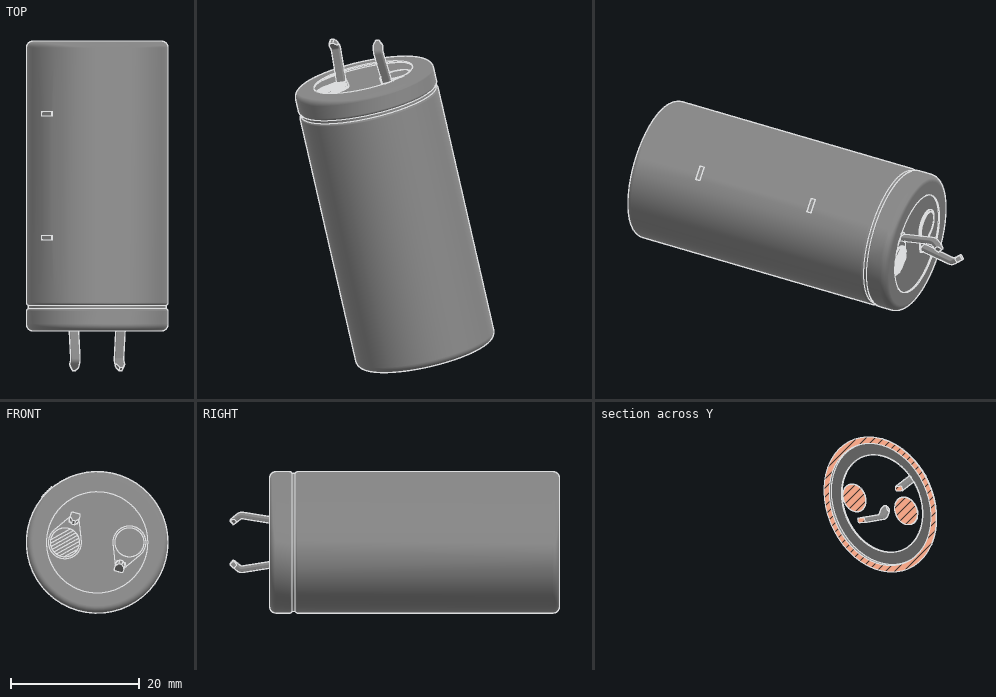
import cadquery as cq
import math

CAN_RADIUS = 11.0
CAN_LENGTH = 45.0
END_FILLET = 1.05

GROOVE_CENTRE = 3.75
GROOVE_ROOT_WIDTH = 0.5
GROOVE_MOUTH_WIDTH = 1.4
GROOVE_DEPTH = 0.27

LIP_RADIUS = 15.71 / 2
LIP_THICKNESS = 0.2
LID_RADIUS = 9.8
LID_Y = 0.93

STRIPE_ANGLE = 135.0
STRIPE_MARK_POSITIONS = (14.5, 33.7)
STRIPE_MARK_LENGTH = 2.2
STRIPE_MARK_WIDTH = 0.7
STRIPE_MARK_HEIGHT = 0.1
STRIPE_MARK_EMBED = 0.5

TERMINAL_PITCH = 10.0
RIVET_RADIUS = 4.5 / 2
RIVET_HEIGHT = 0.3
LUG_RADIUS = 2.55
LUG_THICKNESS = 0.15
LUG_TIP_RADIUS = 0.85

PIN_ROOT = (-3.65, LID_Y, 3.35)
PIN_BEND = (-3.37, -4.5, 4.22)
PIN_TIP = (-3.68, -5.88, 3.08)
PIN_WIDTH = 1.45
PIN_THICKNESS = 0.8
PIN_EDGE_FILLET = 0.22
PIN_BEND_RADIUS = 0.8
PIN_TIP_WIDTH = 0.5
PIN_TAPER_LENGTH = 0.8

PIN_ENVELOPE_REACH = 10.0

HATCH_COUNT = 4
HATCH_PITCH = 0.95
HATCH_WIDTH = HATCH_PITCH / 2
HATCH_SHIFT = -HATCH_WIDTH / 2
HATCH_HEIGHT = 0.1
HATCH_ANGLE = 29.0

RIVET_TOP_Y = LID_Y - RIVET_HEIGHT


def facing_front(y):
    """Workplane at height y along the can whose normal is -Y and whose local axes are X and Z."""
    return cq.Workplane("XZ", origin=(0, y, 0))


def can_body():
    """Can with rounded ends, bead groove and recessed lid, revolved about Y."""
    root_radius = CAN_RADIUS - GROOVE_DEPTH
    root_half = GROOVE_ROOT_WIDTH / 2
    mouth_half = GROOVE_MOUTH_WIDTH / 2
    shoulder = mouth_half - root_half
    shoulder_x = CAN_RADIUS - GROOVE_DEPTH * (1 - math.sqrt(0.75))
    arc_offset = END_FILLET * (1 - math.sqrt(0.5))
    flat_radius = CAN_RADIUS - END_FILLET

    profile = (
        cq.Workplane("XY")
        .moveTo(0, LID_Y)
        .lineTo(LID_RADIUS, LID_Y)
        .lineTo(LID_RADIUS, LIP_THICKNESS)
        .lineTo(LIP_RADIUS, LIP_THICKNESS)
        .lineTo(LIP_RADIUS, 0)
        .lineTo(flat_radius, 0)
        .threePointArc((CAN_RADIUS - arc_offset, arc_offset), (CAN_RADIUS, END_FILLET))
        .lineTo(CAN_RADIUS, GROOVE_CENTRE - mouth_half)
        .threePointArc(
            (shoulder_x, GROOVE_CENTRE - mouth_half + shoulder / 2),
            (root_radius, GROOVE_CENTRE - root_half),
        )
        .lineTo(root_radius, GROOVE_CENTRE + root_half)
        .threePointArc(
            (shoulder_x, GROOVE_CENTRE + mouth_half - shoulder / 2),
            (CAN_RADIUS, GROOVE_CENTRE + mouth_half),
        )
        .lineTo(CAN_RADIUS, CAN_LENGTH - END_FILLET)
        .threePointArc(
            (CAN_RADIUS - arc_offset, CAN_LENGTH - arc_offset),
            (flat_radius, CAN_LENGTH),
        )
        .lineTo(0, CAN_LENGTH)
        .close()
    )
    return profile.revolve(360, (0, 0, 0), (0, 1, 0))


def stripe_mark(y):
    """One raised minus mark, lying across the polarity stripe."""
    depth = STRIPE_MARK_HEIGHT + STRIPE_MARK_EMBED
    mark = cq.Workplane("XY").box(depth, STRIPE_MARK_WIDTH, STRIPE_MARK_LENGTH)
    mark = mark.translate((CAN_RADIUS + STRIPE_MARK_HEIGHT - depth / 2, y, 0))
    return mark.rotate((0, 0, 0), (0, 1, 0), -STRIPE_ANGLE)


def lug():
    """Teardrop plate on the lid: a large disc joined by tangents to a small disc at the pin."""
    big_x, big_z = -TERMINAL_PITCH / 2, 0.0
    tip_x, tip_z = PIN_ROOT[0], PIN_ROOT[2]
    distance = math.hypot(tip_x - big_x, tip_z - big_z)
    heading = math.atan2(tip_z - big_z, tip_x - big_x)
    tangent = math.acos((LUG_RADIUS - LUG_TIP_RADIUS) / distance)

    def on_big(angle):
        return (big_x + LUG_RADIUS * math.cos(angle), big_z + LUG_RADIUS * math.sin(angle))

    def on_tip(angle):
        return (tip_x + LUG_TIP_RADIUS * math.cos(angle), tip_z + LUG_TIP_RADIUS * math.sin(angle))

    return (
        facing_front(LID_Y)
        .moveTo(*on_big(heading + tangent))
        .threePointArc(on_big(heading + math.pi), on_big(heading - tangent))
        .lineTo(*on_tip(heading - tangent))
        .threePointArc(on_tip(heading), on_tip(heading + tangent))
        .close()
        .extrude(LUG_THICKNESS)
    )


def pin():
    """Rounded flat bar rising from the lug, leaning outwards and then bent back inwards."""
    root, bend, tip = (cq.Vector(*point) for point in (PIN_ROOT, PIN_BEND, PIN_TIP))
    up = (bend - root).normalized()
    onward = (tip - bend).normalized()
    across = up.cross(onward)
    half_turn = up.getAngle(onward) / 2

    setback = PIN_BEND_RADIUS * math.tan(half_turn)
    arc_start = bend - up * setback
    arc_end = bend + onward * setback
    inward = (onward - up).normalized()
    arc_middle = bend + inward * (PIN_BEND_RADIUS / math.cos(half_turn) - PIN_BEND_RADIUS)
    path = cq.Wire.assembleEdges(
        [
            cq.Edge.makeLine(root, arc_start),
            cq.Edge.makeThreePointArc(arc_start, arc_middle, arc_end),
            cq.Edge.makeLine(arc_end, tip),
        ]
    )

    section = cq.Plane(origin=root, xDir=across, normal=up)
    outline = cq.Sketch().rect(PIN_WIDTH, PIN_THICKNESS).vertices().fillet(PIN_EDGE_FILLET)
    bar = cq.Workplane(section).placeSketch(outline).sweep(path)
    return bar.intersect(pin_tip_envelope(tip, onward, across))


def pin_tip_envelope(tip, onward, across):
    """Tapered block ending at the pin tip that narrows the last stretch of the bar."""
    half_wide = PIN_WIDTH / 2
    half_tip = PIN_TIP_WIDTH / 2
    plane = cq.Plane(origin=tip, xDir=across, normal=across.cross(onward))
    return (
        cq.Workplane(plane)
        .polyline(
            [
                (-PIN_ENVELOPE_REACH, -PIN_ENVELOPE_REACH),
                (-PIN_ENVELOPE_REACH, -PIN_TAPER_LENGTH),
                (-half_wide, -PIN_TAPER_LENGTH),
                (-half_tip, 0),
                (half_tip, 0),
                (half_wide, -PIN_TAPER_LENGTH),
                (PIN_ENVELOPE_REACH, -PIN_TAPER_LENGTH),
                (PIN_ENVELOPE_REACH, -PIN_ENVELOPE_REACH),
            ]
        )
        .close()
        .extrude(PIN_ENVELOPE_REACH, both=True)
    )


def terminal():
    """Lug, rivet head and pin on the -X side."""
    rivet = facing_front(LID_Y).center(-TERMINAL_PITCH / 2, 0).circle(RIVET_RADIUS).extrude(RIVET_HEIGHT)
    return lug().union(rivet).union(pin())


def hatching():
    """Parallel ribs on the negative rivet head, trimmed to its rim."""
    offsets = [(0, HATCH_SHIFT + (i - (HATCH_COUNT - 1) / 2) * HATCH_PITCH) for i in range(HATCH_COUNT)]
    head = facing_front(RIVET_TOP_Y).center(-TERMINAL_PITCH / 2, 0)
    ribs = (
        head.transformed(rotate=(0, 0, HATCH_ANGLE))
        .pushPoints(offsets)
        .rect(2 * RIVET_RADIUS, HATCH_WIDTH)
        .extrude(HATCH_HEIGHT)
    )
    return ribs.intersect(head.circle(RIVET_RADIUS).extrude(HATCH_HEIGHT))


result = can_body()
for mark_y in STRIPE_MARK_POSITIONS:
    result = result.union(stripe_mark(mark_y))
for turn in (0, 180):
    result = result.union(terminal().rotate((0, 0, 0), (0, 1, 0), turn))
result = result.union(hatching())